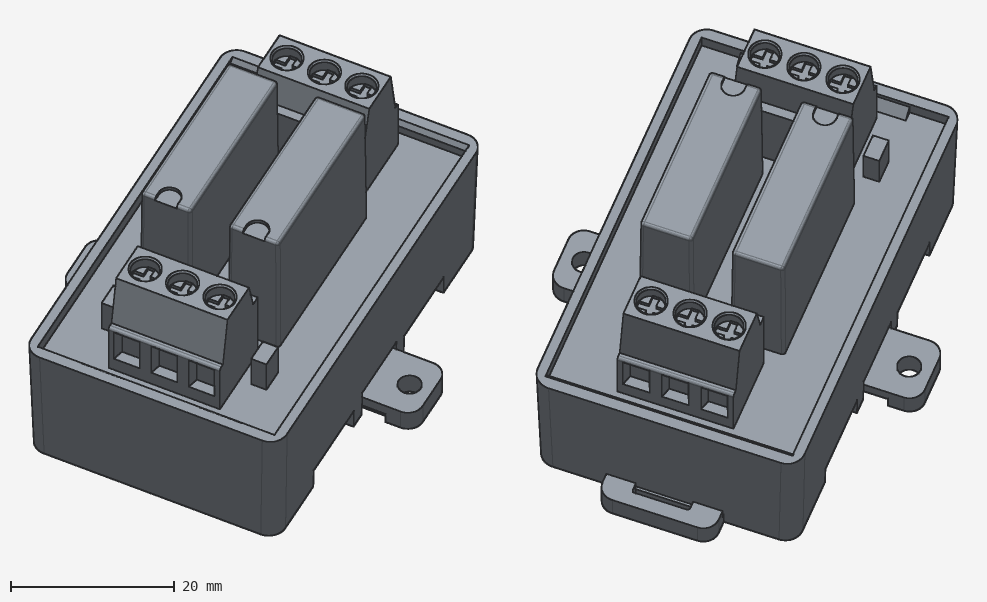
import cadquery as cq
import math


HOUSING_HEIGHT = 17.85
TOP_HALF_X = 17.5
TOP_HALF_Y = 28.1
WALL_DRAFT = 0.4
CORNER_RADIUS = 2.25
RIM_WIDTH = 1.3
END_RIM_WIDTH = 1.5
CAVITY_HALF_X = TOP_HALF_X - RIM_WIDTH
CAVITY_FRONT = -(TOP_HALF_Y - END_RIM_WIDTH)
LEAD_IN = 0.6
CAVITY_BACK = TOP_HALF_Y - END_RIM_WIDTH - LEAD_IN
FLOOR_TOP = 4.3

FOOT_HEIGHT = 3.0
REAR_SLOT = (6.95, 17.8)
FRONT_SLOT = (-17.75, -6.8)
HOOK_HALF_X = 7.6
FIXED_HOOK_REACH = 2.45
FIXED_HOOK_TOP = 1.55
FIXED_HOOK_TIP = 0.8
RIDGE_Y = -14.7
RIDGE_WIDTH = 1.55
RIDGE_DROP = 0.3

OVERALL_WIDTH = 48.6
EAR_REACH = OVERALL_WIDTH / 2
EAR_Y = 0.1
EAR_WIDTH = 8.9
EAR_CORNER = 2.0
EAR_HOLE_X = 21.3
EAR_HOLE_DIAMETER = 3.0
EAR_STEP_X = 20.25
EAR_STEP_HEIGHT = 1.5
EAR_STEP_DEPTH = 0.9
NOTCH_WIDTH = 9.35
NOTCH_DEPTH = 1.0

TAB_X = 8.05
TAB_WIDTH = 6.05
TAB_REACH = 1.3
TAB_HEIGHT = 1.2

OVERALL_LENGTH = 59.5
LATCH_HALF_X = 7.6
LATCH_BACK = OVERALL_LENGTH - TOP_HALF_Y
LATCH_TIP = 16.0
LATCH_CORNER = 2.0
TONGUE_HEIGHT = 1.65
TONGUE_CHAMFER = 0.6
LOOP_HALF_X = 3.75
LOOP_BAR = 1.95
LOOP_CORNER = 0.35

COVER_TOP = 16.05
COVER_THICKNESS = 1.2

RELAY_X = 6.0
RELAY_TOP = 34.9
RELAY_WIDTH = 7.1
RELAY_LENGTH = 24.2
RELAY_DRAFT = 0.15
RELAY_FILLET = 0.4
MARK_RADIUS = 1.5
MARK_DEPTH = 0.5
MARK_Y = -10.95

TERMINAL_WIDTH = 15.25
TERMINAL_TOP = 30.4
TERMINAL_FRONT = 24.4
TERMINAL_DEPTH = 10.35
NOSE_Z = 23.45
NOSE_DEPTH = 0.85
NOSE_FILLET = 0.4
SLOPE_TOP_FRONT = 2.1
SLOPE_TOP_BACK = 8.0
SHOULDER_DEPTH = 9.1
SHOULDER_Z = 26.25
POLE_COUNT = 3
POLE_PITCH = 5.1
SCREW_DIAMETER = 4.1
SCREW_BEVEL = 0.25
SCREW_DEPTH = 1.65
SCREW_SLOT_WIDTH = 0.95
SCREW_SLOT_DEPTH = 0.5
WIRE_OUTER = (3.5, 18.1, 22.9)
WIRE_INNER = (2.5, 18.45, 21.7)
WIRE_DEPTH = 1.2

INDICATOR_X = 10.25
INDICATOR_Y = -17.4
INDICATOR_WIDTH = 2.1
INDICATOR_LENGTH = 3.2
INDICATOR_TOP = 20.7


def block(x_range, y_range, z_range):
    """Axis-aligned box given by its extents."""
    (x0, x1), (y0, y1), (z0, z1) = x_range, y_range, z_range
    return cq.Workplane("XY").box(x1 - x0, y1 - y0, z1 - z0, centered=False).translate((x0, y0, z0))


def prism_along_x(points, width, x_center=0.0):
    """Extrude a (Y, Z) outline symmetrically about x_center."""
    prism = cq.Workplane("YZ").polyline(points).close().extrude(width / 2, both=True)
    return prism.translate((x_center, 0, 0))


def drafted_block(length_x, length_y, bottom, top, lean):
    """Box of the given base size whose sides move outward by lean over its height."""
    height = top - bottom
    angle = math.degrees(math.atan(lean / height))
    return cq.Workplane("XY", origin=(0, 0, bottom)).rect(length_x, length_y).extrude(height, taper=-angle)


def rounded_rectangle(length_x, length_y):
    """Outline of the housing at one level."""
    return cq.Sketch().rect(length_x, length_y).vertices().fillet(CORNER_RADIUS)


def housing_shell():
    """Open box with drafted walls and two rail slots across its underside."""
    base = rounded_rectangle(2 * (TOP_HALF_X - WALL_DRAFT), 2 * (TOP_HALF_Y - WALL_DRAFT))
    rim = rounded_rectangle(2 * TOP_HALF_X, 2 * TOP_HALF_Y)
    rim_place = cq.Location(cq.Vector(0, 0, HOUSING_HEIGHT))
    shell = cq.Workplane("XY").placeSketch(base, rim.moved(rim_place)).loft()
    cavity = prism_along_x(
        [
            (CAVITY_FRONT, FLOOR_TOP),
            (CAVITY_BACK, FLOOR_TOP),
            (CAVITY_BACK, HOUSING_HEIGHT - LEAD_IN),
            (CAVITY_BACK + LEAD_IN, HOUSING_HEIGHT),
            (CAVITY_FRONT, HOUSING_HEIGHT),
        ],
        2 * CAVITY_HALF_X,
    )
    shell = shell.cut(cavity)
    for slot in (REAR_SLOT, FRONT_SLOT):
        shell = shell.cut(block((-TOP_HALF_X, TOP_HALF_X), slot, (0, FOOT_HEIGHT)))
    return shell


def ear_notch(side):
    """Opening in one side wall around an ear, with a sloped roof."""
    wall = TOP_HALF_X - WALL_DRAFT
    inner = wall - NOTCH_DEPTH
    outline = [
        (side * inner, 0),
        (side * inner, FOOT_HEIGHT),
        (side * (wall + NOTCH_DEPTH), FOOT_HEIGHT + 2 * NOTCH_DEPTH),
        (side * (wall + NOTCH_DEPTH), 0),
    ]
    profile = cq.Workplane("XZ").polyline(outline).close().extrude(NOTCH_WIDTH / 2, both=True)
    return profile.translate((0, EAR_Y, 0))


def ear(side):
    """Flat mounting ear with a screw hole and a shallow step along both lower edges."""
    root = TOP_HALF_X - WALL_DRAFT - NOTCH_DEPTH
    half = EAR_WIDTH / 2
    plate = block((root, EAR_REACH), (-half, half), (0, FOOT_HEIGHT))
    plate = plate.edges("|Z and >X").fillet(EAR_CORNER)
    hole = cq.Workplane("XY").center(EAR_HOLE_X, 0).circle(EAR_HOLE_DIAMETER / 2).extrude(FOOT_HEIGHT)
    plate = plate.cut(hole)
    for y_range in ((-half, -half + EAR_STEP_DEPTH), (half - EAR_STEP_DEPTH, half)):
        plate = plate.cut(block((root, EAR_STEP_X), y_range, (0, EAR_STEP_HEIGHT)))
    if side < 0:
        plate = plate.mirror("YZ")
    return plate.translate((0, EAR_Y, 0))


def fixed_hook():
    """Hook at the front end of the front rail slot."""
    wall = FRONT_SLOT[0]
    tip = wall + FIXED_HOOK_REACH
    outline = [(wall, 0), (wall, FIXED_HOOK_TOP), (tip, FIXED_HOOK_TOP), (tip, FIXED_HOOK_TIP)]
    return prism_along_x(outline, 2 * HOOK_HALF_X)


def slot_ridge():
    """Rounded ridge hanging from the roof of the front rail slot."""
    half = RIDGE_WIDTH / 2
    ridge = (
        cq.Workplane("YZ")
        .moveTo(RIDGE_Y - half, FOOT_HEIGHT)
        .threePointArc((RIDGE_Y, FOOT_HEIGHT - RIDGE_DROP), (RIDGE_Y + half, FOOT_HEIGHT))
        .close()
    )
    return ridge.extrude(HOOK_HALF_X, both=True)


def snap_tab(x_center):
    """Wedge on the front wall that holds the cover down."""
    outline = [
        (CAVITY_FRONT, COVER_TOP),
        (CAVITY_FRONT, COVER_TOP + TAB_HEIGHT),
        (CAVITY_FRONT + TAB_REACH, COVER_TOP),
    ]
    return prism_along_x(outline, TAB_WIDTH, x_center)


def latch_channel():
    """Pocket in the underside that the latch tongue fills."""
    channel_x = (-LATCH_HALF_X, LATCH_HALF_X)
    return block(channel_x, (REAR_SLOT[1], TOP_HALF_Y), (0, TONGUE_HEIGHT))


def make_housing():
    """Drafted box with its ears, snap tabs and rail features."""
    body = housing_shell()
    for side in (-1, 1):
        body = body.cut(ear_notch(side)).union(ear(side)).union(snap_tab(side * TAB_X))
    return body.union(fixed_hook()).union(slot_ridge()).cut(latch_channel())


def make_latch():
    """Pull loop behind the housing, joined to a thin tongue that reaches into the rear rail slot."""
    latch_x = (-LATCH_HALF_X, LATCH_HALF_X)
    tongue = block(latch_x, (LATCH_TIP, TOP_HALF_Y), (0, TONGUE_HEIGHT))
    tongue = tongue.edges("<Y and <Z").chamfer(TONGUE_CHAMFER)
    loop = block(latch_x, (TOP_HALF_Y, LATCH_BACK), (0, FOOT_HEIGHT))
    loop = loop.edges("|Z and >Y").fillet(LATCH_CORNER)
    window = block((-LOOP_HALF_X, LOOP_HALF_X), (TOP_HALF_Y, LATCH_BACK - LOOP_BAR), (0, FOOT_HEIGHT))
    window = window.edges("|Z and >Y").fillet(LOOP_CORNER)
    return tongue.union(loop.cut(window))


def relay(x_center):
    """Drafted relay case with a U-shaped pin-one mark at the front of its top."""
    case = drafted_block(RELAY_WIDTH, RELAY_LENGTH, COVER_TOP, RELAY_TOP, -RELAY_DRAFT)
    case = case.edges("not <Z").fillet(RELAY_FILLET)
    mark = cq.Workplane("XY", origin=(0, MARK_Y, RELAY_TOP)).circle(MARK_RADIUS).extrude(-MARK_DEPTH)
    mark = mark.union(
        block((-MARK_RADIUS, MARK_RADIUS), (-RELAY_LENGTH / 2, MARK_Y), (RELAY_TOP - MARK_DEPTH, RELAY_TOP))
    )
    return case.cut(mark).translate((x_center, 0, 0))


def screw_recess():
    """Bevelled screw hole with a cross slot in its floor, centred on the origin at the block top."""
    mouth_radius = SCREW_DIAMETER / 2
    shaft_radius = mouth_radius - SCREW_BEVEL
    shaft = cq.Workplane("XY").circle(shaft_radius).extrude(-SCREW_DEPTH)
    bevel = cq.Workplane("XY").circle(mouth_radius).workplane(offset=-SCREW_BEVEL)
    bevel = bevel.circle(shaft_radius).loft()
    recess = shaft.union(bevel)
    slot_length = 2 * shaft_radius
    cross = cq.Workplane("XY", origin=(0, 0, -SCREW_DEPTH))
    for size in ((slot_length, SCREW_SLOT_WIDTH), (SCREW_SLOT_WIDTH, slot_length)):
        recess = recess.union(cross.rect(*size).extrude(-SCREW_SLOT_DEPTH))
    return recess


def wire_entry():
    """Funnel-shaped opening running inward (+Y) from Y = 0."""
    outer_width, outer_bottom, outer_top = WIRE_OUTER
    inner_width, inner_bottom, inner_top = WIRE_INNER
    return (
        cq.Workplane("XZ")
        .center(0, (outer_bottom + outer_top) / 2)
        .rect(outer_width, outer_top - outer_bottom)
        .workplane(offset=-WIRE_DEPTH)
        .center(0, (inner_bottom + inner_top - outer_bottom - outer_top) / 2)
        .rect(inner_width, inner_top - inner_bottom)
        .loft()
    )


def terminal_block():
    """Three-pole screw terminal with its wire-entry face toward -Y."""
    profile = [
        (0, COVER_TOP),
        (0, NOSE_Z),
        (NOSE_DEPTH, NOSE_Z),
        (SLOPE_TOP_FRONT, TERMINAL_TOP),
        (SLOPE_TOP_BACK, TERMINAL_TOP),
        (SHOULDER_DEPTH, SHOULDER_Z),
        (TERMINAL_DEPTH, SHOULDER_Z),
        (TERMINAL_DEPTH, COVER_TOP),
    ]
    body = prism_along_x(profile, TERMINAL_WIDTH)
    body = body.faces("<Y").edges(">Z").fillet(NOSE_FILLET)
    screw_y = (SLOPE_TOP_FRONT + SLOPE_TOP_BACK) / 2
    for index in range(POLE_COUNT):
        x = (index - (POLE_COUNT - 1) / 2) * POLE_PITCH
        body = body.cut(screw_recess().translate((x, screw_y, TERMINAL_TOP)))
        body = body.cut(wire_entry().translate((x, 0, 0)))
    return body.translate((0, -TERMINAL_FRONT, 0))


def indicator(x_center):
    """Small rectangular indicator beside the front terminal block."""
    half_x = INDICATOR_WIDTH / 2
    half_y = INDICATOR_LENGTH / 2
    return block(
        (x_center - half_x, x_center + half_x),
        (INDICATOR_Y - half_y, INDICATOR_Y + half_y),
        (COVER_TOP, INDICATOR_TOP),
    )


def make_cover():
    """Cover plate with two relays, two opposed terminal blocks and two indicators."""
    cover = block(
        (-CAVITY_HALF_X, CAVITY_HALF_X),
        (CAVITY_FRONT, CAVITY_BACK),
        (COVER_TOP - COVER_THICKNESS, COVER_TOP),
    )
    for side in (-1, 1):
        cover = cover.union(relay(side * RELAY_X)).union(indicator(side * INDICATOR_X))
    for turn in (0, 180):
        cover = cover.union(terminal_block().rotate((0, 0, 0), (0, 0, 1), turn))
    return cover


housing = make_housing()
latch = make_latch()
cover = make_cover()

result = cq.Compound.makeCompound([housing.solids().val(), latch.solids().val(), cover.solids().val()])